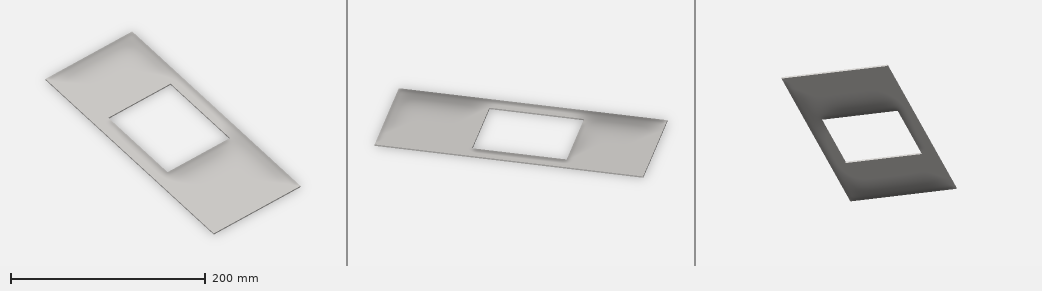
import cadquery as cq

plate_length = 283.2
plate_width = 112.7
plate_thickness = 1.6

window_length = 99.7
window_width = 81.0
window_left_margin = 84.0
window_front_margin = 16.7

plate = cq.Workplane("XY").box(plate_length, plate_width, plate_thickness, centered=False)

window = (
    cq.Workplane("XY")
    .box(window_length, window_width, plate_thickness, centered=False)
    .translate((window_left_margin, window_front_margin, 0))
)

result = plate.cut(window)